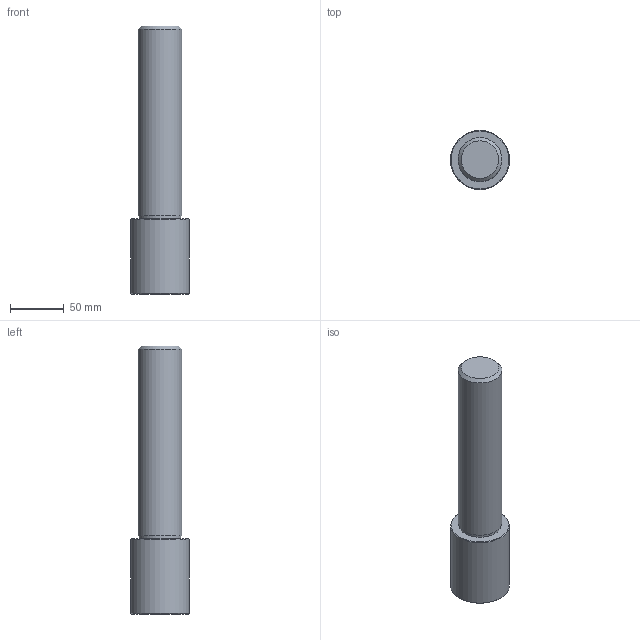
import cadquery as cq

total_length = 250.0

head_diameter = 55.0
head_length = 70.0
head_chamfer = 0.5

neck_diameter = 39.0
neck_length = 3.0

shank_diameter = 41.0
tip_diameter = 35.0
tip_chamfer_height = 3.0

shank_start = head_length + neck_length
shank_length = total_length - shank_start


def make_head():
    """Thick cylinder standing on Z = 0, with both rims lightly chamfered."""
    head = cq.Workplane("XY").circle(head_diameter / 2).extrude(head_length)
    return head.faces("<Z or >Z").chamfer(head_chamfer)


def make_neck():
    """Short narrow cylinder joining the head to the shank."""
    neck = cq.Workplane("XY").workplane(offset=head_length)
    return neck.circle(neck_diameter / 2).extrude(neck_length)


def make_shank():
    """Long cylinder with a chamfered tip."""
    shank = cq.Workplane("XY").workplane(offset=shank_start)
    shank = shank.circle(shank_diameter / 2).extrude(shank_length)
    tip_chamfer_width = (shank_diameter - tip_diameter) / 2
    return shank.faces(">Z").chamfer(tip_chamfer_height, tip_chamfer_width)


result = make_head().union(make_neck()).union(make_shank())